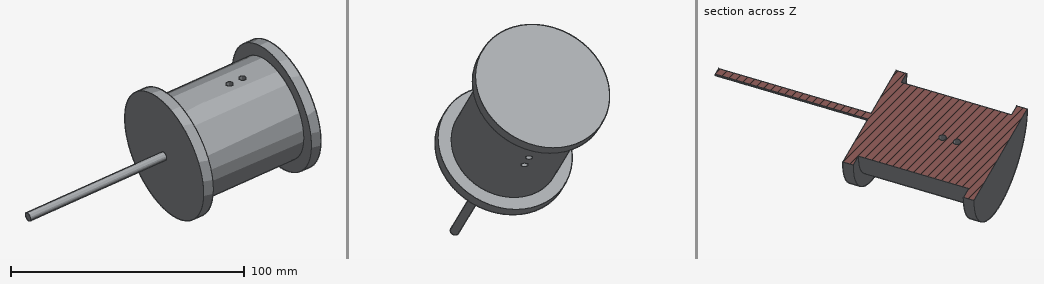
import cadquery as cq

total_length = 131.7
flange_diameter = 60.0
flange_thickness = 5.0
core_diameter = 48.5
spool_length = 61.0
rod_diameter = 4.0

hole_diameter = 3.0
hole_count = 2
hole_spacing = 6.7
first_hole_from_back = 20.3

back_y = total_length / 2
spool_front_y = back_y - spool_length
rod_length = total_length - spool_length


def cylinder_along_y(diameter, start_y, length):
    """Solid cylinder on the spool axis, growing from start_y toward +Y."""
    plane = cq.Plane(origin=(0, start_y, 0), xDir=(1, 0, 0), normal=(0, 1, 0))
    return cq.Workplane(plane).circle(diameter / 2).extrude(length)


spool = cylinder_along_y(core_diameter, spool_front_y, spool_length)
for flange_y in (spool_front_y, back_y - flange_thickness):
    spool = spool.union(cylinder_along_y(flange_diameter, flange_y, flange_thickness))

rod = cylinder_along_y(rod_diameter, spool_front_y - rod_length, rod_length)

hole_positions = [(0, back_y - first_hole_from_back - i * hole_spacing) for i in range(hole_count)]
holes = (
    cq.Workplane("XY")
    .pushPoints(hole_positions)
    .circle(hole_diameter / 2)
    .extrude(core_diameter, both=True)
)

result = spool.union(rod).cut(holes)